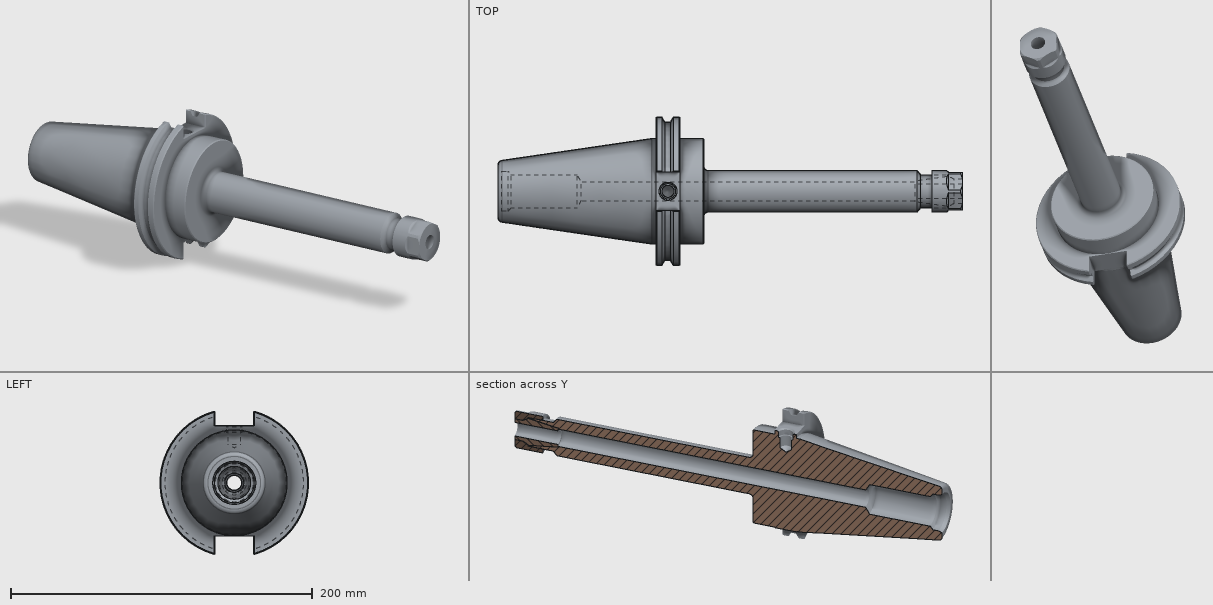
import cadquery as cq
import math

overall_length = 308.0

gauge_dia = 70.0
taper_length = 101.5
taper_ratio = 7 / 24
small_end_dia = gauge_dia - taper_length * taper_ratio
small_end_fillet = 3.0

flange_dia = 98.5
flange_start = 104.7
flange_end = 120.7
flange_chamfer = 0.5
groove_center = 112.5
groove_floor_dia = 91.7
groove_floor_width = 3.7
groove_flank_angle = 30.0

slot_width = 25.5
upper_slot_floor = 38.0
lower_slot_floor = 35.5

port_x = 112.7
port_mouth_dia = 12.0
port_dia = 10.2
port_depth = 4.5
port_pilot_dia = 8.0
port_pilot_depth = 12.3

collar_dia = 70.2
collar_chamfer = 0.5
collar_end = 136.5
extension_dia = 27.7
extension_end = 280.0
root_fillet = 2.8
end_cone_length = 2.5
nose_dia = 22.0
nose_end = 298.5

bore_mouth_dia = 28.5
counterbore_dia = 26.5
bore_chamfer_depth = 2.5
counterbore_depth = 6.8
shoulder_length = 2.0
thread_bore_dia = 22.0
thread_bore_depth = 52.3
drill_tip_half_angle = 59.0
coolant_bore_dia = 12.5

collet_length = 31.5
collet_start = overall_length - collet_length
collet_large_dia = 20.0
collet_half_angle = 8.0
collet_front_dia = 16.0
collet_face_cone_length = 3.7
collet_bore_dia = 10.0

nut_dia = extension_dia
nut_start = 287.5
nut_chamfer = 1.2
flat_count = 6
across_flats = 25.0
flat_start = 298.5
flat_runout_angle = 45.0


def revolved(points):
    """Solid of revolution about X from (x, radius) points."""
    return cq.Workplane("XY").polyline(points).close().revolve(360, (0, 0, 0), (1, 0, 0))


def tip_length(dia, tip_dia=0.0):
    """Length of a drill point that narrows from dia to tip_dia."""
    return (dia - tip_dia) / 2 / math.tan(math.radians(drill_tip_half_angle))


def taper_and_extension():
    """Outside of the holder without the flange, with rounded small end and extension root."""
    small_r = small_end_dia / 2
    collar_r = collar_dia / 2
    rod_r = extension_dia / 2
    nose_r = nose_dia / 2
    body = revolved([
        (0, 0),
        (0, small_r),
        (taper_length, gauge_dia / 2),
        (taper_length + collar_chamfer, collar_r),
        (collar_end - collar_chamfer, collar_r),
        (collar_end, collar_r - collar_chamfer),
        (collar_end, rod_r),
        (extension_end - end_cone_length, rod_r),
        (extension_end, nose_r),
        (nose_end, nose_r),
        (nose_end, 0),
    ])
    body = body.faces("<X").edges().fillet(small_end_fillet)
    reach = rod_r + root_fillet
    root = cq.selectors.BoxSelector(
        (collar_end - root_fillet, -reach, -reach),
        (collar_end + root_fillet, reach, reach),
        boundingbox=True,
    )
    return body.edges(root).fillet(root_fillet)


def slot_cutter(floor_height):
    """Block that cuts a drive slot from the given height upwards."""
    block = cq.Workplane("XY").box(
        flange_end - flange_start, slot_width, flange_dia, centered=(False, True, False)
    )
    return block.translate((flange_start, 0, floor_height))


def groove_cutter():
    """Ring with a V-sided section for the gripper groove."""
    rim_r = flange_dia / 2
    floor_r = groove_floor_dia / 2
    half_floor = groove_floor_width / 2
    half_mouth = half_floor + (rim_r - floor_r) * math.tan(math.radians(groove_flank_angle))
    return revolved([
        (groove_center - half_mouth, rim_r),
        (groove_center - half_floor, floor_r),
        (groove_center + half_floor, floor_r),
        (groove_center + half_mouth, rim_r),
    ])


def flange():
    """Flange disc with two drive slots, chamfered around the rim and the slot walls, and a groove."""
    disc = revolved([
        (flange_start, 0),
        (flange_start, flange_dia / 2),
        (flange_end, flange_dia / 2),
        (flange_end, 0),
    ])
    lower_slot = slot_cutter(lower_slot_floor).rotate((0, 0, 0), (1, 0, 0), 180)
    disc = disc.cut(slot_cutter(upper_slot_floor)).cut(lower_slot)
    rim_and_wall_edges = disc.faces("%CYLINDER").edges().add(disc.edges("|Z"))
    disc = rim_and_wall_edges.chamfer(flange_chamfer)
    return disc.cut(groove_cutter())


def port_cutter():
    """Chamfered blind port with a drilled pilot, sunk into the floor of the upper slot."""
    mouth_r = port_mouth_dia / 2
    port_r = port_dia / 2
    pilot_r = port_pilot_dia / 2
    profile = [
        (0, 0),
        (mouth_r, 0),
        (port_r, port_r - mouth_r),
        (port_r, -port_depth),
        (pilot_r, -port_depth),
        (pilot_r, -port_pilot_depth),
        (0, -port_pilot_depth - tip_length(port_pilot_dia)),
    ]
    cutter = cq.Workplane("XZ").polyline(profile).close().revolve(360, (0, 0, 0), (0, 1, 0))
    return cutter.translate((port_x, 0, upper_slot_floor))


def collet_radius(x):
    """Radius of the long collet cone at x."""
    return collet_large_dia / 2 - (nose_end - x) * math.tan(math.radians(collet_half_angle))


def bore_cutter():
    """Stepped bore from the taper's small end to the collet seat at the nose."""
    thread_r = thread_bore_dia / 2
    coolant_r = coolant_bore_dia / 2
    tip_end = thread_bore_depth + tip_length(thread_bore_dia, coolant_bore_dia)
    return revolved([
        (0, 0),
        (0, bore_mouth_dia / 2),
        (bore_chamfer_depth, counterbore_dia / 2),
        (counterbore_depth, counterbore_dia / 2),
        (counterbore_depth + shoulder_length, thread_r),
        (thread_bore_depth, thread_r),
        (tip_end, coolant_r),
        (collet_start, coolant_r),
        (collet_start, collet_radius(collet_start)),
        (nose_end, collet_radius(nose_end)),
        (nose_end, 0),
    ])


def make_holder():
    """Holder: taper, flange, collar, extension and nose, bored through."""
    return taper_and_extension().union(flange()).cut(port_cutter()).cut(bore_cutter())


def make_collet():
    """Collet with a long cone in the nose and a short cone against the nut."""
    bore_r = collet_bore_dia / 2
    front_r = collet_front_dia / 2
    return revolved([
        (collet_start, bore_r),
        (collet_start, collet_radius(collet_start)),
        (nose_end, collet_large_dia / 2),
        (nose_end + collet_face_cone_length, front_r),
        (overall_length, front_r),
        (overall_length, bore_r),
    ])


def flat_cutter():
    """Cutter for the wrench flat on the -Y side, ending in a sloped runout."""
    flat_y = -across_flats / 2
    outer_y = flat_y - nut_dia
    runout = nut_dia / math.tan(math.radians(flat_runout_angle))
    return (
        cq.Workplane("XY")
        .polyline([
            (flat_start, flat_y),
            (overall_length, flat_y),
            (overall_length, outer_y),
            (flat_start - runout, outer_y),
        ])
        .close()
        .extrude(nut_dia / 2, both=True)
    )


def make_nut():
    """Round nut with wrench flats, bored to fit the nose and the front of the collet."""
    nut_r = nut_dia / 2
    nose_r = nose_dia / 2
    front_r = collet_front_dia / 2
    nut = revolved([
        (nut_start, nose_r),
        (nut_start, nut_r),
        (overall_length - nut_chamfer, nut_r),
        (overall_length, nut_r - nut_chamfer),
        (overall_length, front_r),
        (nose_end + collet_face_cone_length, front_r),
        (nose_end, collet_large_dia / 2),
        (nose_end, nose_r),
    ])
    for index in range(flat_count):
        turn = index * 360 / flat_count
        nut = nut.cut(flat_cutter().rotate((0, 0, 0), (1, 0, 0), turn))
    return nut


holder = make_holder()
collet = make_collet()
nut = make_nut()

bodies = [holder, collet, nut]
result = cq.Compound.makeCompound([body.solids().val() for body in bodies])